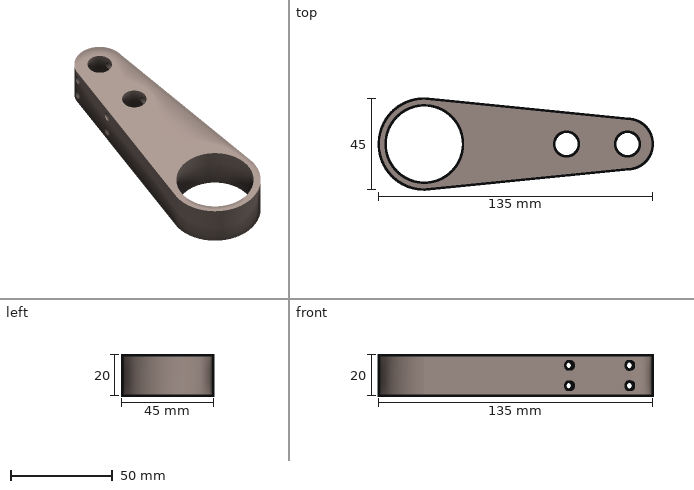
import cadquery as cq
import math

thickness = 20.0
large_end_radius = 22.5
small_end_radius = 12.5
center_distance = 100.0
large_bore_diameter = 38.0
rod_bore_diameter = 12.0
rod_bore_spacing = 30.0
screw_hole_diameter = 4.2
screw_hole_spacing = 10.0

rod_bore_positions = [center_distance - rod_bore_spacing, center_distance]
screw_hole_heights = [
    thickness / 2 - screw_hole_spacing / 2,
    thickness / 2 + screw_hole_spacing / 2,
]
side_taper = math.atan((large_end_radius - small_end_radius) / center_distance)


def make_arm():
    """Tapered plate with a half-round at each end."""
    return (
        cq.Workplane("XY")
        .moveTo(0, large_end_radius)
        .threePointArc((-large_end_radius, 0), (0, -large_end_radius))
        .lineTo(center_distance, -small_end_radius)
        .threePointArc((center_distance + small_end_radius, 0), (center_distance, small_end_radius))
        .close()
        .extrude(thickness)
    )


def make_bore(x, diameter):
    """Vertical cutter through the full thickness."""
    return cq.Workplane("XY").center(x, 0).circle(diameter / 2).extrude(thickness)


def make_screw_hole(x, z, side):
    """Cutter from a rod bore axis out through one side wall, square to that tapered wall."""
    start = cq.Vector(x, 0, z)
    outward = cq.Vector(math.sin(side_taper), side * math.cos(side_taper), 0)
    reach = large_end_radius
    return cq.Workplane(cq.Solid.makeCylinder(screw_hole_diameter / 2, reach, start, outward))


result = make_arm().cut(make_bore(0, large_bore_diameter))

for bore_x in rod_bore_positions:
    result = result.cut(make_bore(bore_x, rod_bore_diameter))
    for hole_z in screw_hole_heights:
        for wall_side in (-1, 1):
            result = result.cut(make_screw_hole(bore_x, hole_z, wall_side))